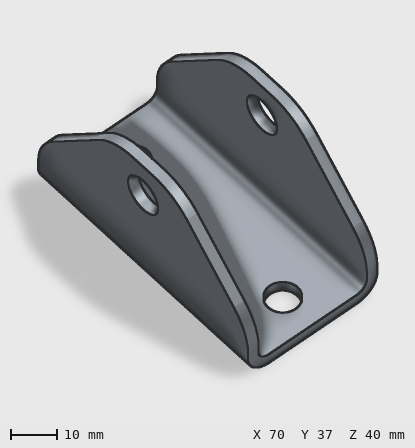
import cadquery as cq

length = 70.0
width = 37.0
height = 40.0

thickness = 3.0
inner_bend_radius = 3.0
outer_bend_radius = inner_bend_radius + thickness

top_edge_width = 20.0
corner_radius = 16.0
slope_run = (length - top_edge_width) / 2
shoulder_height = height - slope_run

pivot_diameter = 10.0
pivot_height = 30.0
mounting_diameter = 8.5
mounting_spacing = 50.0


def channel():
    """U channel along X, resting on Z = 0 and open at the top."""
    outer = (
        cq.Workplane("XY")
        .box(length, width, height, centered=(True, True, False))
        .edges("|X and <Z")
        .fillet(outer_bend_radius)
    )
    inner = (
        cq.Workplane("XY")
        .workplane(offset=thickness)
        .box(length, width - 2 * thickness, height, centered=(True, True, False))
        .edges("|X and <Z")
        .fillet(inner_bend_radius)
    )
    return outer.cut(inner)


def side_outline():
    """Solid with the side plate outline, spanning the full width."""
    half_length = length / 2
    half_top = top_edge_width / 2
    return (
        cq.Workplane("XZ")
        .moveTo(-half_length, 0)
        .lineTo(half_length, 0)
        .lineTo(half_length, shoulder_height)
        .lineTo(half_top, height)
        .lineTo(-half_top, height)
        .lineTo(-half_length, shoulder_height)
        .close()
        .extrude(width / 2, both=True)
        .edges("|Y and (not <Z)")
        .fillet(corner_radius)
    )


def pivot_hole():
    """Cylinder through both side plates."""
    return (
        cq.Workplane("XZ")
        .center(0, pivot_height)
        .circle(pivot_diameter / 2)
        .extrude(width, both=True)
    )


def mounting_holes():
    """Pair of cylinders through the base."""
    return (
        cq.Workplane("XY")
        .rarray(mounting_spacing, 0.7, 2, 1)
        .circle(mounting_diameter / 2)
        .extrude(thickness)
    )


result = channel().intersect(side_outline()).cut(pivot_hole()).cut(mounting_holes())